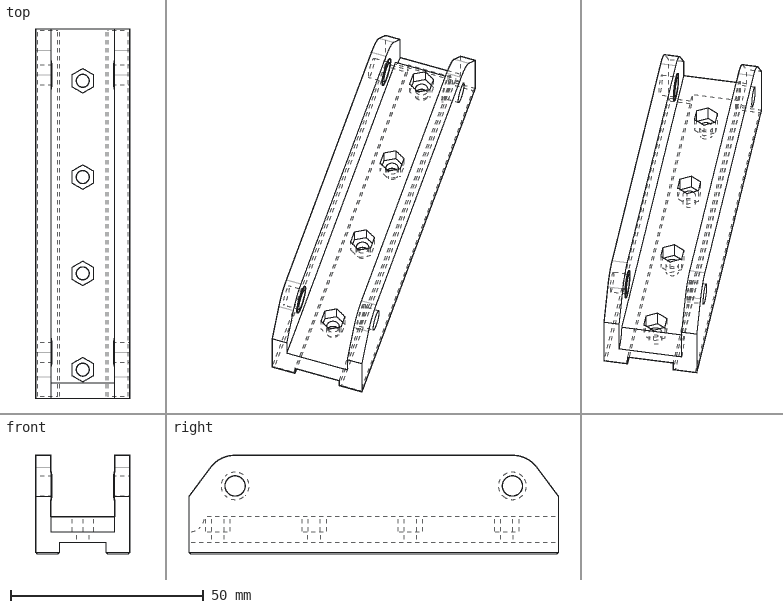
import cadquery as cq
import math

WIDTH = 24.5
LENGTH = 96.0
HEIGHT = 25.73

WALL = 4.0
INNER_WIDTH = WIDTH - 2 * WALL
FLOOR_TOP = 9.73
CHANNEL_WIDTH = 12.0
CHANNEL_DEPTH = 3.0
FOOT_CHAMFER = 0.5

EAR_RADIUS = 8.0
PIVOT_INSET = 12.0
PIVOT_Z = HEIGHT - EAR_RADIUS
PIVOT_HOLE_DIAMETER = 5.2
SHOULDER_Z = 15.0
WASHER_DIAMETER = 7.2
WASHER_RIM_THICKNESS = 0.15
WASHER_THICKNESS = 0.25

RELIEF_RADIUS = 4.0

SCREW_COUNT = 4
SCREW_PITCH = 25.0
FIRST_SCREW_Y = 7.5
SCREW_DIAMETER = 3.3
NUT_SIDES = 6
NUT_ACROSS_FLATS = 5.5
NUT_POCKET_DEPTH = 4.0

PIVOT_POSITIONS = (PIVOT_INSET, LENGTH - PIVOT_INSET)
SCREW_POSITIONS = [FIRST_SCREW_Y + i * SCREW_PITCH for i in range(SCREW_COUNT)]


def x_cylinder(diameter, x_start, length, y, z):
    """Cylinder along +X."""
    circle = cq.Workplane("YZ", origin=(x_start, y, z)).circle(diameter / 2)
    return circle.extrude(length)


def side_body():
    """Solid block with the side outline: sloped shoulders rounded around the pivots."""
    drop = PIVOT_Z - SHOULDER_Z
    reach = math.hypot(PIVOT_INSET, drop)
    angle_to_pivot = math.atan2(drop, PIVOT_INSET)
    slope = angle_to_pivot + math.asin(EAR_RADIUS / reach)
    tangent_y = PIVOT_INSET - EAR_RADIUS * math.sin(slope)
    tangent_z = PIVOT_Z + EAR_RADIUS * math.cos(slope)
    mid_y = PIVOT_INSET - EAR_RADIUS * math.sin(slope / 2)
    mid_z = PIVOT_Z + EAR_RADIUS * math.cos(slope / 2)
    outline = (
        cq.Workplane("YZ", origin=(-WIDTH / 2, 0, 0))
        .moveTo(0, 0)
        .lineTo(0, SHOULDER_Z)
        .lineTo(tangent_y, tangent_z)
        .threePointArc((mid_y, mid_z), (PIVOT_INSET, HEIGHT))
        .lineTo(LENGTH - PIVOT_INSET, HEIGHT)
        .threePointArc((LENGTH - mid_y, mid_z), (LENGTH - tangent_y, tangent_z))
        .lineTo(LENGTH, SHOULDER_Z)
        .lineTo(LENGTH, 0)
        .close()
    )
    return outline.extrude(WIDTH)


def bottom_channel():
    """Groove along the underside that leaves a foot on each side."""
    return cq.Workplane("XY").box(CHANNEL_WIDTH, LENGTH, CHANNEL_DEPTH, centered=(True, False, False))


def inner_space():
    """Space between the two walls, above the floor."""
    return (
        cq.Workplane("XY", origin=(0, 0, FLOOR_TOP))
        .box(INNER_WIDTH, LENGTH, HEIGHT - FLOOR_TOP, centered=(True, False, False))
    )


def floor_relief():
    """Quarter-round cut along the front edge of the floor, down to a thin lip."""
    return x_cylinder(2 * RELIEF_RADIUS, -INNER_WIDTH / 2, INNER_WIDTH, 0, FLOOR_TOP)


def pivot_washer(side, y):
    """Thin disc on the inner face of one wall, rising as a cone to the hole; side is -1 or +1 along X."""
    wall_face = cq.Plane(origin=(side * INNER_WIDTH / 2, y, PIVOT_Z), xDir=(0, 1, 0), normal=(-side, 0, 0))
    disc = cq.Workplane(wall_face).circle(WASHER_DIAMETER / 2).extrude(WASHER_RIM_THICKNESS)
    cone = (
        cq.Workplane(wall_face)
        .workplane(offset=WASHER_RIM_THICKNESS)
        .circle(WASHER_DIAMETER / 2)
        .workplane(offset=WASHER_THICKNESS - WASHER_RIM_THICKNESS)
        .circle(PIVOT_HOLE_DIAMETER / 2)
        .loft(combine=True)
    )
    return disc.union(cone)


def add_pivots(body):
    """Raised washers on the inner sides of the walls and pivot holes through both walls."""
    for y in PIVOT_POSITIONS:
        for side in (-1, 1):
            body = body.union(pivot_washer(side, y))
        body = body.cut(x_cylinder(PIVOT_HOLE_DIAMETER, -WIDTH / 2, WIDTH, y, PIVOT_Z))
    return body


def cut_screw_holes(body):
    """Through holes with nut pockets whose corners point along Y."""
    nut_across_corners = NUT_ACROSS_FLATS / math.cos(math.pi / NUT_SIDES)
    for y in SCREW_POSITIONS:
        hole = cq.Workplane("XY", origin=(0, y, 0)).circle(SCREW_DIAMETER / 2).extrude(FLOOR_TOP)
        pocket = (
            cq.Workplane("XY", origin=(0, y, FLOOR_TOP))
            .transformed(rotate=(0, 0, 90))
            .polygon(NUT_SIDES, nut_across_corners)
            .extrude(-NUT_POCKET_DEPTH)
        )
        body = body.cut(hole).cut(pocket)
    return body


body = side_body().cut(bottom_channel())
body = body.faces("<Z").edges().chamfer(FOOT_CHAMFER)
body = body.cut(inner_space()).cut(floor_relief())
body = add_pivots(body)
result = cut_screw_holes(body)